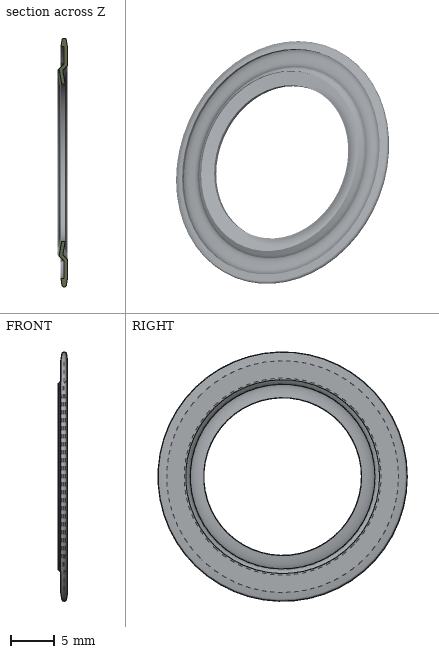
import math

import cadquery as cq

bore_radius = 9.1
crown_radius = 10.7
rim_inner_radius = 13.4
shoulder_radius = 14.15
outer_radius = 14.415

total_height = 1.14
rim_height = 0.81
sheet_thickness = 0.45
lip_height = 0.14
rim_taper = 0.12

flank_angle = math.radians(45)
land_angle = math.radians(10)

flank_slope = math.tan(flank_angle)
land_slope = math.tan(land_angle)
rim_middle = rim_height / 2
land_top_height = total_height - lip_height

foot_radius = crown_radius + (total_height - sheet_thickness) / flank_slope
bore_front_height = land_top_height - (crown_radius - bore_radius) * land_slope

flank_drop = sheet_thickness / math.cos(flank_angle)
land_drop = sheet_thickness / math.cos(land_angle)
bore_back_height = bore_front_height - land_drop
crown_shift = (flank_drop - land_drop - lip_height) / (flank_slope + land_slope)
back_crown_radius = crown_radius - crown_shift
back_crown_height = land_top_height - land_drop - crown_shift * land_slope
back_foot_radius = back_crown_radius + back_crown_height / flank_slope


def ring_section():
    """Half section in the XY plane: X is along the axis, Y is the radius."""
    return (
        cq.Workplane("XY")
        .moveTo(-bore_back_height, bore_radius)
        .lineTo(-bore_front_height, bore_radius)
        .lineTo(-land_top_height, crown_radius)
        .lineTo(-total_height, crown_radius)
        .lineTo(-sheet_thickness, foot_radius)
        .lineTo(-sheet_thickness, rim_inner_radius)
        .lineTo(-rim_height, rim_inner_radius)
        .lineTo(rim_taper - rim_height, shoulder_radius)
        .threePointArc((-rim_middle, outer_radius), (-rim_taper, shoulder_radius))
        .lineTo(0, rim_inner_radius)
        .lineTo(0, back_foot_radius)
        .lineTo(-back_crown_height, back_crown_radius)
        .close()
    )


result = ring_section().revolve(360, (0, 0, 0), (1, 0, 0))